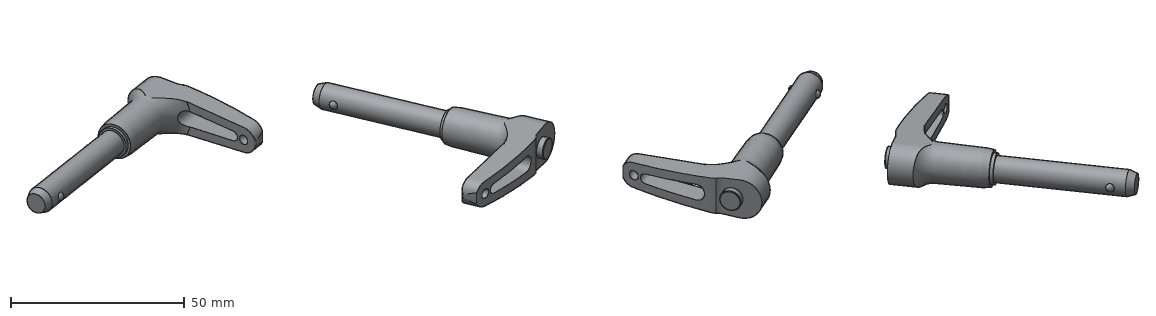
import cadquery as cq
import math

total_length = 73.65

shank_radius = 4.0
tip_radius = 3.1
tip_taper_length = 2.4
ball_radius = 1.4
ball_y = 7.0
ball_reach = 4.85

collar_radius = 4.7
collar_y = 41.4
grip_end_radius = 5.5
grip_end_y = 42.4
grip_lower_radius = 5.8
grip_lower_y = 44.7
grip_upper_radius = 6.05
grip_upper_y = 58.9
flare_radius = 5.9

neck_overlap = 0.7

button_radius = 3.25
button_chamfer = 0.2

plan_height = 12.7
head_radius = plan_height / 2
handle_length = 44.2
handle_left = -9.0
handle_right = handle_left + handle_length
tip_end_radius = 4.1
head_x = handle_left + head_radius
tip_x = handle_right - tip_end_radius

head_top_y = 71.6
step_x = 3.2
hump_start = (4.8, 72.2)
hump_top = (6.25, 72.3)
back_middle = (20.4, 70.8)
back_end = (34.8, 67.5)
bottom_start = (10.3, 65.0)
bottom_end_y = 62.6
end_overhang = 0.15
tip_corner_radius = 0.95
step_sag = 0.1

slot_wide_radius = 2.6
slot_wide_x = 10.8
slot_narrow_radius = 1.6
slot_narrow_x = 27.25
lanyard_radius = 1.5


def tapered_slot(x1, r1, x2, r2, y_top, depth):
    """Prism along -Y over two circles on the X axis joined by their outer tangents."""
    sine = (r1 - r2) / (x2 - x1)
    cosine = math.sqrt(1 - sine**2)
    start = (x1 + r1 * sine, r1 * cosine)
    end = (x2 + r2 * sine, r2 * cosine)
    return (
        cq.Workplane("XZ", origin=(0, y_top, 0))
        .moveTo(*start)
        .lineTo(*end)
        .threePointArc((x2 + r2, 0), (end[0], -end[1]))
        .lineTo(start[0], -start[1])
        .threePointArc((x1 - r1, 0), start)
        .close()
        .extrude(depth)
    )


def flare_solid():
    """Concave neck that widens from the grip into the underside of the handle."""
    rim_radius = grip_upper_radius + flare_radius
    rim_y = grip_upper_y + flare_radius
    diagonal = flare_radius * math.sqrt(0.5)
    return (
        cq.Workplane("XY")
        .moveTo(0, grip_upper_y)
        .lineTo(grip_upper_radius, grip_upper_y)
        .threePointArc((rim_radius - diagonal, grip_upper_y + diagonal), (rim_radius, rim_y))
        .lineTo(rim_radius, rim_y + neck_overlap)
        .lineTo(0, rim_y + neck_overlap)
        .close()
        .revolve(360, (0, 0, 0), (0, 1, 0))
    )


def side_profile_solid():
    """Handle silhouette with its humped back, thick enough to be trimmed to the plan."""
    step_middle = (
        (step_x + hump_start[0]) / 2 + step_sag,
        (head_top_y + hump_start[1]) / 2 - step_sag,
    )
    return (
        cq.Workplane("XY")
        .moveTo(handle_left, bottom_start[1])
        .lineTo(handle_left, head_top_y)
        .lineTo(step_x, head_top_y)
        .threePointArc(step_middle, hump_start)
        .lineTo(*hump_top)
        .threePointArc(back_middle, back_end)
        .lineTo(handle_right + end_overhang, bottom_end_y)
        .lineTo(*bottom_start)
        .close()
        .extrude(head_radius, both=True)
        .edges("|Z and >X or (|Z and >>X[-2])")
        .fillet(tip_corner_radius)
    )


def handle_solid():
    """Handle and neck trimmed to the tapered plan, with the slot and lanyard hole."""
    plan = tapered_slot(head_x, head_radius, tip_x, tip_end_radius, total_length, total_length)
    slot = tapered_slot(
        slot_wide_x, slot_wide_radius, slot_narrow_x, slot_narrow_radius, total_length, total_length
    )
    lanyard_hole = (
        cq.Workplane("XZ", origin=(tip_x, total_length, 0))
        .circle(lanyard_radius)
        .extrude(total_length)
    )
    return side_profile_solid().union(flare_solid()).intersect(plan).cut(slot).cut(lanyard_hole)


def pin_solid():
    """Revolved shank, collar and grip."""
    outline = [
        (0, 0),
        (tip_radius, 0),
        (shank_radius, tip_taper_length),
        (shank_radius, collar_y),
        (collar_radius, collar_y),
        (collar_radius, grip_end_y),
        (grip_end_radius, grip_end_y),
        (grip_lower_radius, grip_lower_y),
        (grip_upper_radius, grip_upper_y),
        (0, grip_upper_y),
    ]
    return cq.Workplane("XY").polyline(outline).close().revolve(360, (0, 0, 0), (0, 1, 0))


def button_solid():
    """Round release button standing on the handle head, rooted in the grip."""
    return (
        cq.Workplane("XZ", origin=(0, total_length, 0))
        .circle(button_radius)
        .extrude(total_length - grip_upper_y)
        .faces(">Y")
        .chamfer(button_chamfer)
    )


result = pin_solid().union(handle_solid()).union(button_solid())

for side in (-1, 1):
    ball_x = side * (ball_reach - ball_radius)
    ball = cq.Workplane("XY").sphere(ball_radius).translate((ball_x, ball_y, 0))
    result = result.union(ball)